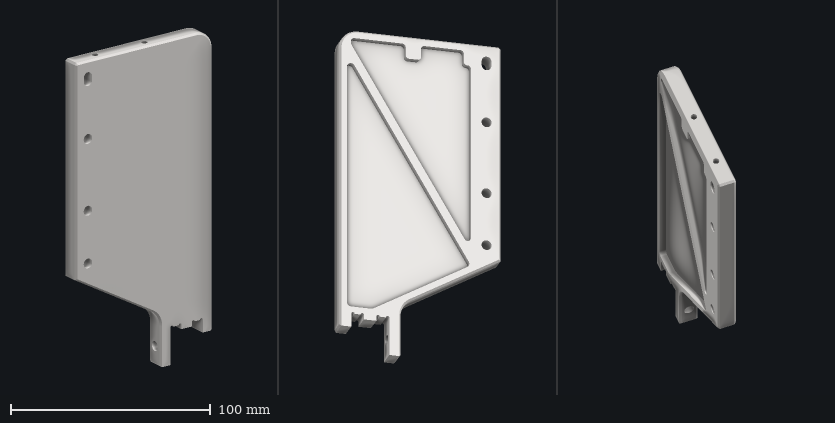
import cadquery as cq
import math


thickness = 10.0
width = 84.0
height = 174.0
edge_chamfer = 1.0
corner_radius = 10.0
near_face = -thickness / 2
trim_margin = 3.5

slope_angle = math.radians(30)
slope_start_z = 58.0
tab_front_y = 52.0
tab_thickness = 6.1
tab_rear_y = tab_front_y + tab_thickness
tab_fillet = 10.0
slope_end_z = slope_start_z - tab_front_y * math.tan(slope_angle)

leg_thickness = 6.1
leg_front_y = width - leg_thickness
leg_bottom_z = 13.0
recess_top_z = 20.2
block_front_y = 64.9
block_rear_y = 71.3
block_bottom_z = 17.7
relief_radius = 0.9

pocket_depth = 3.5
lower_pocket_radius = 2.1
upper_pocket_radius = 1.7
pocket_front_y = 15.7
brace_slope = math.tan(math.radians(59.1))
brace_thickness = 4.4
lower_rear_y = 80.2
lower_bottom_z = 24.0
lower_slope_y = 67.0
lower_front_z = lower_bottom_z + (lower_slope_y - pocket_front_y) * math.tan(slope_angle)
upper_rear_y = 78.1
upper_top_z = 169.8

top_hole_ys = (15.3, 45.6)
top_hole_diameter = 3.3
top_hole_depth = 10.0
drill_tip_angle = math.radians(118)
boss_width = 8.0
boss_bottom_z = 162.0

mount_y = 7.5
mount_hole_zs = (65.6, 93.8, 132.2)
mount_diameter = 5.2
slot_z = 164.3
slot_width = 5.0
slot_length = 7.3
tab_hole_z = 10.1
tab_hole_diameter = 5.2


def prism(outline, length):
    """Extrude a closed (y, z) outline along +X from the near face."""
    return cq.Workplane("YZ", origin=(near_face, 0, 0)).polyline(outline).close().extrude(length)


def at_corner(body, corner):
    """Pick the X-direction edge nearest to a (y, z) corner."""
    return body.edges("|X").edges(cq.selectors.NearestToPointSelector((0, *corner)))


def rounded_prism(outline, length, radius):
    """Prism with every X-direction edge rounded."""
    body = prism(outline, length)
    for corner in outline:
        body = at_corner(body, corner).fillet(radius)
    return body


def through_thickness(centers):
    """Workplane on the near face with (y, z) points placed on it."""
    return cq.Workplane("YZ", origin=(near_face, 0, 0)).pushPoints(centers)


def plate_blank():
    """Plate outline with a chamfered rim, running on below the part."""
    tab_slope_corner = (tab_front_y, slope_end_z)
    top_front_corner = (0, height)
    top_rear_corner = (width, height)
    outline = [
        (tab_front_y, -trim_margin),
        tab_slope_corner,
        (0, slope_start_z),
        top_front_corner,
        top_rear_corner,
        (width, -trim_margin),
    ]
    body = prism(outline, thickness)
    body = at_corner(body, tab_slope_corner).fillet(tab_fillet)
    body = at_corner(body, top_rear_corner).fillet(corner_radius)
    body = at_corner(body, top_front_corner).chamfer(edge_chamfer)
    return body.faces("<X or >X").chamfer(edge_chamfer)


def underside_cutter():
    """Space below the tab and leg, with the stepped recess between them."""
    below_z = -2 * trim_margin
    outline = [
        (tab_front_y - trim_margin, below_z),
        (tab_front_y - trim_margin, edge_chamfer + trim_margin),
        (tab_front_y + edge_chamfer, 0),
        (tab_rear_y, 0),
        (tab_rear_y, recess_top_z),
        (block_front_y, recess_top_z),
        (block_front_y, block_bottom_z),
        (block_rear_y, block_bottom_z),
        (block_rear_y, recess_top_z),
        (leg_front_y, recess_top_z),
        (leg_front_y, leg_bottom_z),
        (width - edge_chamfer, leg_bottom_z),
        (width + trim_margin, leg_bottom_z + edge_chamfer + trim_margin),
        (width + trim_margin, below_z),
    ]
    relief_centers = [
        (tab_rear_y + relief_radius, recess_top_z),
        (block_front_y - relief_radius, recess_top_z),
        (block_rear_y + relief_radius, recess_top_z),
        (leg_front_y - relief_radius, recess_top_z),
    ]
    reliefs = through_thickness(relief_centers).circle(relief_radius).extrude(thickness)
    return prism(outline, thickness).union(reliefs)


def lower_pocket():
    """Pocket between the brace, the rear edge and the sloping underside."""
    apex_z = lower_front_z + (lower_rear_y - pocket_front_y) * brace_slope
    outline = [
        (pocket_front_y, lower_front_z),
        (lower_rear_y, apex_z),
        (lower_rear_y, lower_bottom_z),
        (lower_slope_y, lower_bottom_z),
    ]
    return rounded_prism(outline, pocket_depth, lower_pocket_radius)


def upper_pocket():
    """Pocket between the brace, the top edge and the front mounting strip."""
    tip_z = lower_front_z + brace_thickness * math.hypot(1, brace_slope)
    rear_z = tip_z + (upper_rear_y - pocket_front_y) * brace_slope
    front_hole_y, rear_hole_y = top_hole_ys
    outline = [
        (pocket_front_y, tip_z),
        (pocket_front_y, boss_bottom_z),
        (front_hole_y + boss_width / 2, boss_bottom_z),
        (front_hole_y + boss_width / 2, upper_top_z),
        (rear_hole_y - boss_width / 2, upper_top_z),
        (rear_hole_y - boss_width / 2, boss_bottom_z),
        (rear_hole_y + boss_width / 2, boss_bottom_z),
        (rear_hole_y + boss_width / 2, upper_top_z),
        (upper_rear_y, upper_top_z),
        (upper_rear_y, rear_z),
    ]
    return rounded_prism(outline, pocket_depth, upper_pocket_radius)


def top_holes():
    """Blind holes down from the top edge, each ending in a drill point."""
    radius = top_hole_diameter / 2
    tip_length = radius / math.tan(drill_tip_angle / 2)
    profile = [(0, 0), (radius, 0), (radius, -top_hole_depth), (0, -top_hole_depth - tip_length)]
    drill = cq.Workplane("XZ").polyline(profile).close().revolve(360, (0, 0), (0, 1))
    front_drill, rear_drill = [drill.translate((0, y, height)) for y in top_hole_ys]
    return front_drill.union(rear_drill)


def mount_holes():
    """Row of through holes along the front edge, the topmost one slotted."""
    round_centers = [(mount_y, z) for z in mount_hole_zs]
    holes = through_thickness(round_centers).circle(mount_diameter / 2).extrude(thickness)
    slot = through_thickness([(mount_y, slot_z)]).slot2D(slot_length, slot_width, 90).extrude(thickness)
    return holes.union(slot)


def tab_hole():
    """Hole through the tab from front to rear."""
    start = cq.Workplane("XZ", origin=(0, tab_rear_y, tab_hole_z))
    return start.circle(tab_hole_diameter / 2).extrude(tab_thickness)


result = (
    plate_blank()
    .cut(underside_cutter())
    .cut(lower_pocket())
    .cut(upper_pocket())
    .cut(top_holes())
    .cut(mount_holes())
    .cut(tab_hole())
)